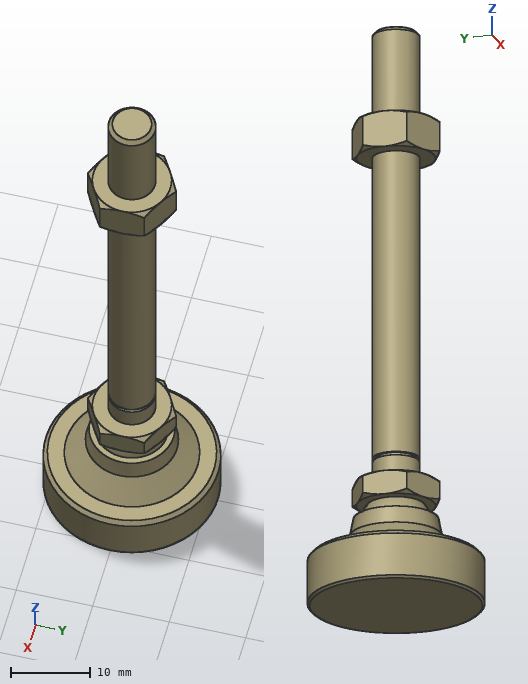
import cadquery as cq
import math

TOTAL_HEIGHT = 76.5

PAD_RADIUS = 11.25
PAD_TOP = 6.4
PAD_TOP_CHAMFER = 0.5
PAD_BOTTOM_CHAMFER = 0.3

SOCKET_FLOOR = 1.5
CONE_BASE_RADIUS = 8.6
COLLAR_BOTTOM = 9.2
COLLAR_BOTTOM_RADIUS = 5.9
COLLAR_TOP_RADIUS = 5.4
COLLAR_TOP = 11.5

BALL_RADIUS = 4.75
JOINT_HEIGHT = 10.3
ROD_DIAMETER = 6.05
ROD_RADIUS = ROD_DIAMETER / 2
ROD_CHAMFER = 0.5
STUD_HEX_BOTTOM = 13.3
STUD_HEX_HEIGHT = 3.1
GROOVE_BOTTOM = 19.1
GROOVE_WIDTH = 0.45
GROOVE_DEPTH = 0.4

ACROSS_FLATS = 10.0
HEX_CHAMFER_ANGLE = 30.0
NUT_BOTTOM = 59.75
NUT_HEIGHT = 4.75


def cylinder(radius, bottom, height):
    return cq.Workplane("XY").workplane(offset=bottom).circle(radius).extrude(height)


def joint_ball():
    return cq.Workplane("XY").sphere(BALL_RADIUS).translate((0, 0, JOINT_HEIGHT))


def chamfered_hexagon(bottom, height):
    """Hexagonal prism with flats facing +X and -X and conically trimmed corners."""
    corner_radius = ACROSS_FLATS / math.sqrt(3)
    face_radius = ACROSS_FLATS / 2
    corner_drop = (corner_radius - face_radius) * math.tan(math.radians(HEX_CHAMFER_ANGLE))
    top = bottom + height
    prism = (
        cq.Workplane("XY").workplane(offset=bottom)
        .transformed(rotate=(0, 0, 90))
        .polygon(6, 2 * corner_radius)
        .extrude(height)
    )
    trimming_body = (
        cq.Workplane("XZ")
        .moveTo(0, bottom)
        .lineTo(face_radius, bottom)
        .lineTo(corner_radius, bottom + corner_drop)
        .lineTo(corner_radius, top - corner_drop)
        .lineTo(face_radius, top)
        .lineTo(0, top)
        .close()
        .revolve(360, (0, 0), (0, 1))
    )
    return prism.intersect(trimming_body)


def make_pad():
    pad = cylinder(PAD_RADIUS, 0, PAD_TOP)
    pad = pad.faces(">Z").chamfer(PAD_TOP_CHAMFER)
    pad = pad.faces("<Z").chamfer(PAD_BOTTOM_CHAMFER)
    recess = cylinder(CONE_BASE_RADIUS, SOCKET_FLOOR, PAD_TOP - SOCKET_FLOOR)
    return pad.cut(recess)


def make_socket():
    body = (
        cq.Workplane("XZ")
        .moveTo(0, SOCKET_FLOOR)
        .lineTo(CONE_BASE_RADIUS, SOCKET_FLOOR)
        .lineTo(CONE_BASE_RADIUS, PAD_TOP)
        .lineTo(COLLAR_BOTTOM_RADIUS, COLLAR_BOTTOM)
        .lineTo(COLLAR_TOP_RADIUS, COLLAR_TOP)
        .lineTo(0, COLLAR_TOP)
        .close()
        .revolve(360, (0, 0), (0, 1))
    )
    return body.cut(joint_ball())


def make_stud():
    rod = cylinder(ROD_RADIUS, JOINT_HEIGHT, TOTAL_HEIGHT - JOINT_HEIGHT)
    rod = rod.faces(">Z").chamfer(ROD_CHAMFER)
    groove = cylinder(ROD_RADIUS, GROOVE_BOTTOM, GROOVE_WIDTH).cut(
        cylinder(ROD_RADIUS - GROOVE_DEPTH, GROOVE_BOTTOM, GROOVE_WIDTH)
    )
    hexagon = chamfered_hexagon(STUD_HEX_BOTTOM, STUD_HEX_HEIGHT)
    return rod.cut(groove).union(joint_ball()).union(hexagon)


def make_nut():
    bore = cylinder(ROD_RADIUS, NUT_BOTTOM, NUT_HEIGHT)
    return chamfered_hexagon(NUT_BOTTOM, NUT_HEIGHT).cut(bore)


pad = make_pad()
socket = make_socket()
stud = make_stud()
nut = make_nut()

result = cq.Compound.makeCompound([pad.val(), socket.val(), stud.val(), nut.val()])